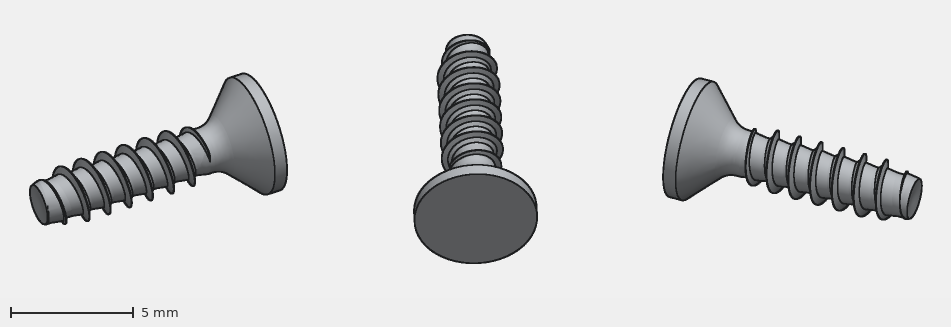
import cadquery as cq
import math

length = 10.0

head_radius = 2.5
head_rim_depth = 0.55
neck_radius = 0.96
neck_fillet = 1.02
countersink_angle = math.radians(45)

thread_start = 2.72
core_radius = 0.86
core_taper_length = 0.5
tip_radius = 0.84
tip_rim_width = 0.03
tip_recess_depth = 0.08

pitch = 0.95
crest_radius = 1.26
crest_width = 0.03
first_crest_depth = 2.63
run_in_turns = 1.0
level_turns = 5.25
run_out_turns = 1.5
run_in_rise = 0.2
run_out_drop = 0.43

rear_knee_offset = 0.08
rear_knee_radius = 1.01
front_foot_offset = 0.13
front_foot_radius = 0.93
ramp_end_offset = 0.59
ramp_extension = 0.06
root_overlap = 0.06
clearance = 0.1

root_radius = core_radius - root_overlap
level_start_depth = first_crest_depth + run_in_turns * pitch
run_out_depth = level_start_depth + level_turns * pitch

fillet_top_radius = neck_radius + neck_fillet * (1 - math.cos(countersink_angle))
fillet_top_depth = head_rim_depth + (head_radius - fillet_top_radius) / math.tan(countersink_angle)
fillet_end_depth = fillet_top_depth + neck_fillet * math.sin(countersink_angle)
half_angle = countersink_angle / 2
fillet_mid = (
    neck_radius + neck_fillet * (1 - math.cos(half_angle)),
    fillet_end_depth - neck_fillet * math.sin(half_angle),
)

FULL_CYLINDER = 360


def revolve(outline):
    """Turn a closed (radius, depth) outline about the screw axis."""
    return outline.close().revolve(360, (0, 0, 0), (0, 1, 0))


def sweep_helix(section, turns, drop=0.0, backward=False):
    """Sweep a (radius, offset) section along a helix that starts at depth 0 on the +X side.

    The radius shrinks by drop over the run. A backward run goes towards the head.
    """
    height = turns * pitch
    taper = math.atan2(drop, height)
    stretch = 1 / math.cos(taper)
    cone_angle = -math.degrees(taper) if drop else FULL_CYLINDER
    helix = cq.Wire.makeHelix(pitch * stretch, height * stretch, crest_radius, angle=cone_angle)
    if backward:
        helix = helix.rotate(cq.Vector(0, 0, 0), cq.Vector(1, 0, 0), 180)
    outline = cq.Workplane("XZ").polyline(section).close()
    return outline.sweep(cq.Workplane(helix), isFrenet=True)


def make_head_and_neck():
    """Head, neck and the taper from the neck down to the thread core."""
    return revolve(
        cq.Workplane("XZ")
        .lineTo(head_radius, 0)
        .lineTo(head_radius, head_rim_depth)
        .lineTo(fillet_top_radius, fillet_top_depth)
        .threePointArc(fillet_mid, (neck_radius, fillet_end_depth))
        .lineTo(neck_radius, thread_start)
        .lineTo(core_radius, thread_start + core_taper_length)
        .lineTo(0, thread_start + core_taper_length)
    )


def make_ramp():
    """Shallow helical slope that falls from the front of each tooth to the core."""
    slope = (front_foot_radius - core_radius) / (ramp_end_offset - front_foot_offset)
    tail_offset = ramp_end_offset + ramp_extension
    section = [
        (root_radius, 0),
        (front_foot_radius + slope * front_foot_offset, 0),
        (core_radius - slope * ramp_extension, tail_offset),
        (root_radius, tail_offset),
    ]
    ramp = sweep_helix(section, run_in_turns + level_turns + run_out_turns)
    return ramp.translate((0, 0, first_crest_depth))


def make_teeth():
    """Run-in, level and run-out stretches of the sharp thread ridge."""
    half_crest = crest_width / 2
    rear_foot_offset = rear_knee_offset + rear_knee_radius - root_radius
    front_flank = (front_foot_offset - half_crest) / (crest_radius - front_foot_radius)
    section = [
        (root_radius, -rear_foot_offset),
        (rear_knee_radius, -rear_knee_offset),
        (crest_radius, -half_crest),
        (crest_radius, half_crest),
        (root_radius, half_crest + front_flank * (crest_radius - root_radius)),
    ]
    run_in = sweep_helix(section, run_in_turns, run_in_rise, backward=True)
    level = sweep_helix(section, level_turns)
    run_out = sweep_helix(section, run_out_turns, run_out_drop)
    run_out = run_out.rotate((0, 0, 0), (0, 0, 1), 360 * level_turns)
    return [
        run_in.translate((0, 0, level_start_depth)),
        level.translate((0, 0, level_start_depth)),
        run_out.translate((0, 0, run_out_depth)),
    ]


def make_thread_envelope():
    """Turned space that trims the thread square at the neck and tapered at the tip."""
    clear_radius = crest_radius + clearance
    return revolve(
        cq.Workplane("XZ")
        .moveTo(0, thread_start)
        .lineTo(clear_radius, thread_start)
        .lineTo(clear_radius, run_out_depth)
        .lineTo(tip_radius, length)
        .lineTo(0, length)
    )


def make_threaded_shank():
    """Core with its thread, trimmed between the neck and the tip."""
    shank = cq.Workplane("XY").workplane(offset=fillet_top_depth).circle(core_radius)
    shank = shank.extrude(length + pitch - fillet_top_depth)
    for ridge in [make_ramp()] + make_teeth():
        shank = shank.union(ridge, clean=False)
    return shank.intersect(make_thread_envelope(), clean=False)


def make_tip_recess():
    """Shallow cone sunk into the tip inside a narrow flat rim."""
    return revolve(
        cq.Workplane("XZ")
        .moveTo(0, length - tip_recess_depth)
        .lineTo(tip_radius - tip_rim_width, length)
        .lineTo(0, length)
    )


screw = make_head_and_neck().union(make_threaded_shank(), clean=False).cut(make_tip_recess())
result = screw.solids().rotate((0, 0, 0), (1, 0, 0), 90)